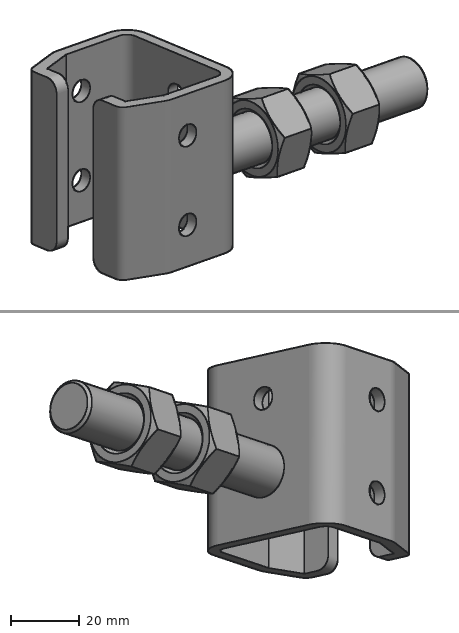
import cadquery as cq
import math

bracket_width = 50.0
bracket_depth = 44.2
bracket_height = 55.0
wall = 3.9
back_corner_radius = 7.6
inner_corner_radius = 3.2
taper_start = 14.5
taper_angle = 20.0
taper_bend_radius = 7.6
taper_wall = 4.2
lip_thickness = 4.5
lip_bend_radius = 3.0
mouth_width = 15.8
lip_corner_radius = 4.0
hole_diameter = 7.0
hole_height = 14.2
side_hole_y = 22.0

rod_diameter = 16.0
rod_end_y = 134.0
rod_z = -8.0
rod_chamfer = 1.0

nut_flats = 24.0
nut_thickness = 13.0
nut_rotation = 16.5
nut_countersink_diameter = 18.2
nut_face_diameter = 23.3
nut_chamfer_depth = 1.2
first_nut_y = 70.2
nut_pitch = 27.1
nut_count = 2

half_width = bracket_width / 2
taper_tan = math.tan(math.radians(taper_angle))
selector_reach = 0.1


def mirrored_outline(right_half):
    """Close an outline from its +X half, given in order from front to back."""
    left_half = [(-x, y) for x, y in reversed(right_half)]
    return cq.Workplane("XY").polyline(right_half + left_half).close()


def upright_prism(right_half):
    """Extrude a mirrored outline over the bracket height, centred on Z = 0."""
    return mirrored_outline(right_half).extrude(bracket_height).translate((0, 0, -bracket_height / 2))


def edges_at(x, y):
    """Selector box around the vertical edge at (x, y)."""
    return cq.selectors.BoxSelector(
        (x - selector_reach, y - selector_reach, -bracket_height),
        (x + selector_reach, y + selector_reach, bracket_height),
    )


def fillet_pair(body, corner, radius):
    """Round the vertical edge at a corner and its mirror image."""
    x, y = corner
    return body.edges(edges_at(x, y)).fillet(radius).edges(edges_at(-x, y)).fillet(radius)


def make_outer_prism():
    front_corner = (half_width - taper_start * taper_tan, 0)
    taper_corner = (half_width, taper_start)
    back_corner = (half_width, bracket_depth)
    body = upright_prism([front_corner, taper_corner, back_corner])
    body = fillet_pair(body, front_corner, lip_bend_radius)
    body = fillet_pair(body, taper_corner, taper_bend_radius)
    return fillet_pair(body, back_corner, back_corner_radius)


def make_inner_prism():
    inner_half = half_width - wall
    taper_offset_x = taper_wall / math.cos(math.radians(taper_angle))
    inner_taper_y = taper_start + (taper_offset_x - wall) / taper_tan
    front_corner = (inner_half - (inner_taper_y - lip_thickness) * taper_tan, lip_thickness)
    taper_corner = (inner_half, inner_taper_y)
    back_corner = (inner_half, bracket_depth - wall)
    body = upright_prism([front_corner, taper_corner, back_corner])
    return fillet_pair(body, back_corner, inner_corner_radius)


def cut_mouth(body):
    """Open the front between the two lips and round the lip corners at the top and bottom."""
    slot = cq.Workplane("XZ").rect(mouth_width, bracket_height).extrude(-lip_thickness)
    reach = mouth_width / 2 + selector_reach
    lip_corners = cq.selectors.BoxSelector(
        (-reach, -selector_reach, -bracket_height),
        (reach, lip_thickness + selector_reach, bracket_height),
    )
    return body.cut(slot).edges("|Y").edges(lip_corners).fillet(lip_corner_radius)


def make_bracket():
    body = cut_mouth(make_outer_prism().cut(make_inner_prism()))
    side_holes = (
        cq.Workplane("YZ")
        .pushPoints([(side_hole_y, hole_height), (side_hole_y, -hole_height)])
        .circle(hole_diameter / 2)
        .extrude(half_width, both=True)
    )
    back_hole = (
        cq.Workplane("XZ", origin=(0, bracket_depth, 0))
        .center(0, hole_height)
        .circle(hole_diameter / 2)
        .extrude(wall)
    )
    return body.cut(side_holes).cut(back_hole)


def make_rod():
    return (
        cq.Workplane("XZ", origin=(0, bracket_depth, rod_z))
        .circle(rod_diameter / 2)
        .extrude(bracket_depth - rod_end_y)
        .faces(">Y")
        .chamfer(rod_chamfer)
    )


def make_nut(start_y):
    """Hexagon nut along Y with cone-chamfered corners and a countersunk bore."""
    corner_radius = nut_flats / 2 / math.cos(math.pi / 6)
    face_radius = nut_face_diameter / 2
    bore_radius = rod_diameter / 2
    countersink_radius = nut_countersink_diameter / 2
    countersink_depth = countersink_radius - bore_radius
    hexagon = (
        cq.Workplane("XZ")
        .polygon(6, 2 * corner_radius)
        .extrude(-nut_thickness)
        .rotate((0, 0, 0), (0, 1, 0), -nut_rotation)
    )
    turned_profile = (
        cq.Workplane("XY")
        .polyline([
            (countersink_radius, 0),
            (face_radius, 0),
            (corner_radius, nut_chamfer_depth),
            (corner_radius, nut_thickness - nut_chamfer_depth),
            (face_radius, nut_thickness),
            (countersink_radius, nut_thickness),
            (bore_radius, nut_thickness - countersink_depth),
            (bore_radius, countersink_depth),
        ])
        .close()
        .revolve(360, (0, 0, 0), (0, 1, 0))
    )
    return hexagon.intersect(turned_profile).translate((0, start_y, rod_z))


bracket = make_bracket()
rod = make_rod()
nuts = [make_nut(first_nut_y + index * nut_pitch) for index in range(nut_count)]

result = cq.Compound.makeCompound([bracket.val(), rod.val(), *[nut.val() for nut in nuts]])